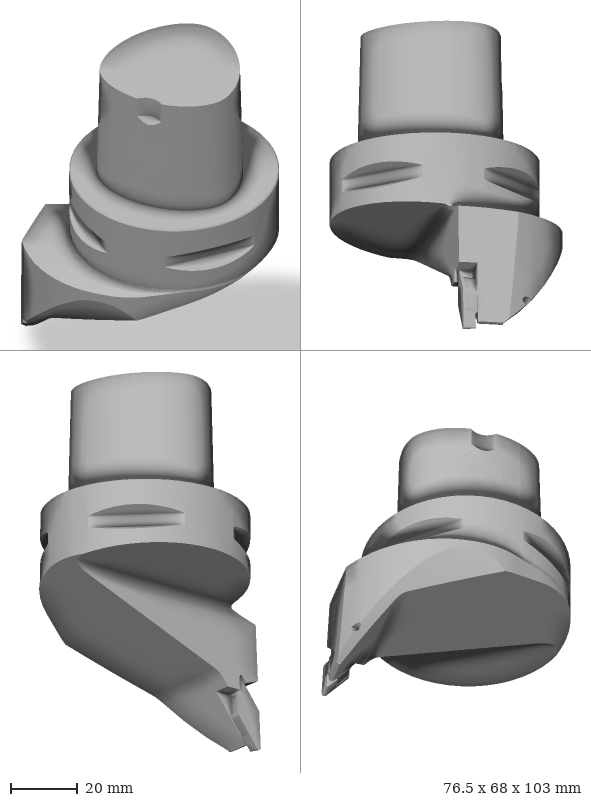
import cadquery as cq
import math



def direction(angle):
    """Unit vector in a plane, at an angle in degrees from its first axis."""
    return math.cos(math.radians(angle)), math.sin(math.radians(angle))


shank_length = 38.0
shank_width = 44.0
shank_lobe = 1.4
shank_lobe_half_angle = 36.5
shank_taper = 1 / 20
notch_radius = 5.35
notch_axis_y = -23.1
notch_depth = 6.4
notch_cone_angle = 45.0

flange_radius = 31.5
flange_chamfer = 0.4
flange_bottom = -22.0
groove_count = 4
groove_z = -12.0
groove_floor_distance = 27.9
groove_floor_height = 3.6
groove_floor_fillet = 0.6
groove_wall_angle = 30.0

tip_x = -45.0
tip_z = -65.0
head_front_y = 1.0
head_back_y = -36.5
head_cone_angle = 15.0
flange_fillet = 1.35
tail_radius = 31.8
back_arc_center_x = -9.3
back_arc_radius = 38.0
blend_arc_center_x = -7.5
blend_arc_radius = 27.5
side_top_x = -42.1
side_top_z = -26.7
side_tilt = 3.0
underside_angle = 20.7
underside_end_z = -21.5
lead_angle = 52.0
lead_point_x = -33.6
lead_point_z = -50.8
underside_fillet = 8.0
tip_trim_z = -62.2
relief_start_z = -19.8
relief_tilt = 5.0
relief_fillet = 3.0
belly_top_z = -27.6
belly_bottom_y = -12.4
belly_radius = 74.0
coolant_diameter = 2.5
coolant_x = -40.2
coolant_z = -53.9
coolant_floor_y = -18.7

insert_edge = 14.1
insert_point_angle = 35.0
insert_thickness = 4.65
insert_clearance = 7.0
nose_radius = 0.8
waist_depth = 0.5
waist_corner_radius = 1.0
waist_top = 0.9
waist_bottom = 4.4
waist_half_length = 6.2
tip_relief_depth = 0.8

opening_wall_z = -45.2
opening_wall_angle = 19.0
opening_right_z = -48.0

reach = 100.0


def shank_point(angle, z):
    """Point of the polygon outline where its normal has the given angle."""
    offset = shank_width / 2 - z * shank_taper / 2
    lobe = shank_lobe * math.cos(3 * (angle - math.pi / 2))
    lobe_slope = -3 * shank_lobe * math.sin(3 * (angle - math.pi / 2))
    support = offset + lobe
    x = support * math.cos(angle) - lobe_slope * math.sin(angle)
    y = support * math.sin(angle) + lobe_slope * math.cos(angle)
    return cq.Vector(x, y, z)


def shank_stretch(start, end, z, count=8):
    """Smooth piece of the polygon outline between two normal angles."""
    angles = [start + (end - start) * i / count for i in range(count + 1)]
    points = [shank_point(angle, z) for angle in angles]
    tangents = [cq.Vector(-math.sin(angle), math.cos(angle), 0) for angle in (start, end)]
    return cq.Edge.makeSpline(points, tangents=tangents)


def shank_outline(z):
    """Three lobes with a flatter flank after each, joined tangentially."""
    edges = []
    half_lobe = math.radians(shank_lobe_half_angle)
    for i in range(3):
        lobe_angle = math.pi / 2 + i * 2 * math.pi / 3
        lobe_end = lobe_angle + half_lobe
        next_lobe_start = lobe_angle + 2 * math.pi / 3 - half_lobe
        edges.append(shank_stretch(lobe_angle - half_lobe, lobe_end, z))
        edges.append(shank_stretch(lobe_end, next_lobe_start, z))
    return cq.Wire.assembleEdges(edges)


def make_shank():
    outlines = [shank_outline(0), shank_outline(shank_length)]
    shank = cq.Workplane(cq.Solid.makeLoft(outlines, True))
    floor_z = shank_length - notch_depth
    top_z = shank_length + notch_radius
    cone_depth = notch_radius * math.tan(math.radians(notch_cone_angle))
    notch = (
        cq.Workplane("XZ", origin=(0, notch_axis_y, 0))
        .moveTo(0, top_z)
        .lineTo(notch_radius, top_z)
        .lineTo(notch_radius, floor_z)
        .lineTo(0, floor_z - cone_depth)
        .close()
        .revolve(360, (0, 0, 0), (0, 1, 0))
    )
    lean = math.degrees(math.atan(shank_taper / 2))
    pivot = (0, notch_axis_y, shank_length)
    notch = notch.rotate(pivot, (1, notch_axis_y, shank_length), -lean)
    return shank.cut(notch)


def make_envelope():
    """Turned shape of the flange, flaring into a cone over the head."""
    blend_angle = 90 - head_cone_angle
    cone_dx, cone_dz = direction(-head_cone_angle)
    tangent = flange_fillet * math.tan(math.radians(blend_angle / 2))
    corner_z = flange_bottom - tangent
    arc_end = (flange_radius + tangent * cone_dx, corner_z + tangent * cone_dz)
    arc_center = (flange_radius + flange_fillet, flange_bottom)
    mid_dx, mid_dz = direction(180 + blend_angle / 2)
    arc_middle = (arc_center[0] + flange_fillet * mid_dx, arc_center[1] + flange_fillet * mid_dz)
    outer_z = corner_z - (reach - flange_radius) * math.tan(math.radians(head_cone_angle))
    return (
        cq.Workplane("XZ")
        .lineTo(flange_radius - flange_chamfer, 0)
        .lineTo(flange_radius, -flange_chamfer)
        .lineTo(flange_radius, flange_bottom)
        .threePointArc(arc_middle, arc_end)
        .lineTo(reach, outer_z)
        .lineTo(reach, -reach)
        .lineTo(0, -reach)
        .close()
        .revolve(360, (0, 0, 0), (0, 1, 0))
    )


def make_plan():
    """Outline of the head and its round tail below the flange, as a tall prism."""
    back_center_y = head_back_y + back_arc_radius
    blend_center_y = head_back_y + blend_arc_radius
    center_distance = math.hypot(blend_arc_center_x, blend_center_y)
    tangent_angle = math.acos((tail_radius - blend_arc_radius) / center_distance)
    tangent_angle -= math.atan2(-blend_arc_center_x, -blend_center_y)
    normal_x, normal_y = math.sin(tangent_angle), -math.cos(tangent_angle)
    blend_end = (
        blend_arc_center_x + blend_arc_radius * normal_x,
        blend_center_y + blend_arc_radius * normal_y,
    )
    blend_middle = (
        blend_arc_center_x + blend_arc_radius * math.sin(tangent_angle / 2),
        blend_center_y - blend_arc_radius * math.cos(tangent_angle / 2),
    )
    tail_touch = (tail_radius * normal_x, tail_radius * normal_y)
    arc_left = (back_arc_center_x - back_arc_radius, back_center_y)
    arc_mid_dx, arc_mid_dy = direction(225)
    arc_middle = (
        back_arc_center_x + back_arc_radius * arc_mid_dx,
        back_center_y + back_arc_radius * arc_mid_dy,
    )
    head = (
        cq.Workplane("XY", origin=(0, 0, -reach))
        .moveTo(0, flange_radius)
        .lineTo(arc_left[0], flange_radius)
        .lineTo(*arc_left)
        .threePointArc(arc_middle, (back_arc_center_x, head_back_y))
        .lineTo(blend_arc_center_x, head_back_y)
        .threePointArc(blend_middle, blend_end)
        .lineTo(*tail_touch)
        .lineTo(0, 0)
        .close()
        .extrude(reach)
    )
    tail = cq.Workplane("XY", origin=(0, 0, -reach)).circle(tail_radius).extrude(reach)
    return head.union(tail)


def make_side_profile():
    """Tilted left side, sloped underside and lead flank, extruded along Y."""
    side_slope = math.tan(math.radians(side_tilt))
    underside_slope = math.tan(math.radians(underside_angle))
    lead_slope = math.tan(math.radians(lead_angle))

    def side_x(z):
        return side_top_x + (z - side_top_z) * side_slope

    tip_left = (side_x(tip_trim_z), tip_trim_z)
    bisector_angle = (lead_angle + 90 - side_tilt) / 2
    trim_slope = -1 / math.tan(math.radians(bisector_angle))
    tip_right_x = tip_trim_z - lead_point_z + lead_point_x * lead_slope - tip_left[0] * trim_slope
    tip_right_x /= lead_slope - trim_slope
    tip_right = (tip_right_x, tip_trim_z + (tip_right_x - tip_left[0]) * trim_slope)
    corner_x = lead_point_x * lead_slope - flange_radius * underside_slope
    corner_x += underside_end_z - lead_point_z
    corner_x /= lead_slope - underside_slope
    corner = (corner_x, lead_point_z + (corner_x - lead_point_x) * lead_slope)
    right_end = (reach, underside_end_z + (reach - flange_radius) * underside_slope)
    profile = (
        cq.Workplane("XZ", origin=(0, reach, 0))
        .moveTo(side_x(0), right_end[1])
        .lineTo(*tip_left)
        .lineTo(*tip_right)
        .lineTo(*corner)
        .lineTo(*right_end)
        .close()
        .extrude(2 * reach)
    )
    fillet_edge = cq.selectors.NearestToPointSelector((corner[0], 0, corner[1]))
    return profile.edges(fillet_edge).fillet(underside_fillet)


def make_belly_profile():
    """Curved belly, head front face and relieved flange bottom, extruded along X."""
    relief_slope = math.tan(math.radians(relief_tilt))
    relief_corner_z = relief_start_z - (flange_radius - head_front_y) * relief_slope
    profile = (
        cq.Workplane("YZ", origin=(-reach, 0, 0))
        .moveTo(reach, 0)
        .lineTo(reach, relief_start_z + (reach - flange_radius) * relief_slope)
        .lineTo(head_front_y, relief_corner_z)
        .lineTo(head_front_y, -reach)
        .lineTo(belly_bottom_y, -reach)
        .lineTo(belly_bottom_y, tip_trim_z)
        .radiusArc((head_back_y, belly_top_z), belly_radius)
        .lineTo(head_back_y, 0)
        .close()
        .extrude(2 * reach)
    )
    corner = cq.selectors.NearestToPointSelector((0, head_front_y, relief_corner_z))
    return profile.edges(corner).fillet(relief_fillet)


def make_groove():
    """Trapezoidal gripper groove, cut into the +X side of the flange."""
    depth = flange_radius - groove_floor_distance
    floor_half = groove_floor_height / 2
    mouth_half = floor_half + depth * math.tan(math.radians(groove_wall_angle))
    groove = (
        cq.Workplane("XZ", origin=(0, flange_radius, groove_z))
        .moveTo(groove_floor_distance, -floor_half)
        .lineTo(flange_radius, -mouth_half)
        .lineTo(flange_radius, mouth_half)
        .lineTo(groove_floor_distance, floor_half)
        .close()
        .extrude(2 * flange_radius)
    )
    return groove.faces("<X").edges("|Y").fillet(groove_floor_fillet)


def make_coolant_hole():
    return (
        cq.Workplane("XZ", origin=(coolant_x, coolant_floor_y, coolant_z))
        .circle(coolant_diameter / 2)
        .extrude(reach)
    )


half_angle = insert_point_angle / 2
diagonal_x, diagonal_z = direction(lead_angle + half_angle)
half_long = insert_edge * math.cos(math.radians(half_angle))
half_short = insert_edge * math.sin(math.radians(half_angle))
side_distance = half_long * math.sin(math.radians(half_angle))
nose_setback = nose_radius / math.sin(math.radians(half_angle))
center_distance = half_long - nose_setback
insert_center_x = tip_x + nose_radius + center_distance * diagonal_x
insert_center_z = tip_z + nose_radius + center_distance * diagonal_z


def insert_plane(depth):
    return cq.Workplane(
        cq.Plane(
            origin=(insert_center_x, -depth, insert_center_z),
            xDir=(diagonal_x, 0, diagonal_z),
            normal=(0, -1, 0),
        )
    )


def insert_corner(along, across):
    """X and Z of a point given in the insert frame."""
    x = insert_center_x + along * diagonal_x - across * diagonal_z
    z = insert_center_z + along * diagonal_z + across * diagonal_x
    return x, z


def rhombus(workplane, inset):
    """Sharp-cornered outline, with its sides moved inward by inset."""
    scale = 1 - inset / side_distance
    along, across = half_long * scale, half_short * scale
    return workplane.polyline([(-along, 0), (0, -across), (along, 0), (0, across)]).close()


def insert_outline(workplane):
    """Outline of the cutting face, rounded at every corner."""
    return rhombus(workplane, nose_radius).offset2D(nose_radius)


def make_insert_blank():
    """Rhombic plate with relieved flanks, as the pocket receives it."""
    return insert_outline(insert_plane(0)).extrude(insert_thickness, taper=insert_clearance)


def make_insert(blank):
    waist_height = waist_bottom - waist_top
    core = rhombus(insert_plane(waist_top), waist_depth).extrude(waist_height, taper=insert_clearance)
    for across in (-half_short, half_short):
        x, z = insert_corner(0, across)
        corner = cq.selectors.NearestToPointSelector((x, -(waist_top + waist_bottom) / 2, z))
        core = core.edges(corner).fillet(waist_corner_radius)
    band = insert_plane(waist_top).rect(2 * waist_half_length, insert_edge).extrude(waist_height)
    insert = blank.cut(band.cut(core))
    nose_length = half_long - waist_half_length
    for side in (-1, 1):
        along = side * (waist_half_length + nose_length / 2)
        step = (
            insert_plane(insert_thickness - tip_relief_depth)
            .center(along, 0)
            .rect(nose_length, insert_edge)
            .extrude(tip_relief_depth)
        )
        insert = insert.cut(step)
    return insert


def make_opening():
    """Clearance left of and below the insert, down to the seat."""
    left_corner_x, left_corner_z = insert_corner(0, half_short)
    lead_slope = math.tan(math.radians(lead_angle))
    wall_x = left_corner_x + (opening_wall_z - left_corner_z) / lead_slope
    left_z = opening_wall_z + (reach + wall_x) * math.tan(math.radians(opening_wall_angle))
    right_corner_x, right_corner_z = insert_corner(0, -half_short)
    right_x = right_corner_x + (opening_right_z - right_corner_z) * math.tan(math.radians(side_tilt))
    return (
        cq.Workplane("XZ", origin=(0, head_front_y, 0))
        .moveTo(wall_x, opening_wall_z)
        .lineTo(-reach, left_z)
        .lineTo(-reach, -reach)
        .lineTo(0, -reach)
        .lineTo(0, opening_right_z)
        .lineTo(right_x, opening_right_z)
        .close()
        .extrude(head_front_y + insert_thickness)
    )


def make_pocket(blank):
    """Insert recess, open toward +Y, with the opening beside it."""
    recess = insert_outline(insert_plane(-head_front_y)).extrude(head_front_y)
    return recess.union(blank).union(make_opening())


insert_blank = make_insert_blank()
insert = make_insert(insert_blank)

holder = make_envelope().intersect(make_plan()).intersect(make_side_profile())
holder = holder.intersect(make_belly_profile())
for i in range(groove_count):
    angle = 45 + i * 360 / groove_count
    holder = holder.cut(make_groove().rotate((0, 0, 0), (0, 0, 1), angle))
holder = holder.cut(make_pocket(insert_blank)).cut(make_coolant_hole())
holder = holder.union(make_shank())

result = cq.Compound.makeCompound([holder.solids().val(), insert.solids().val()])